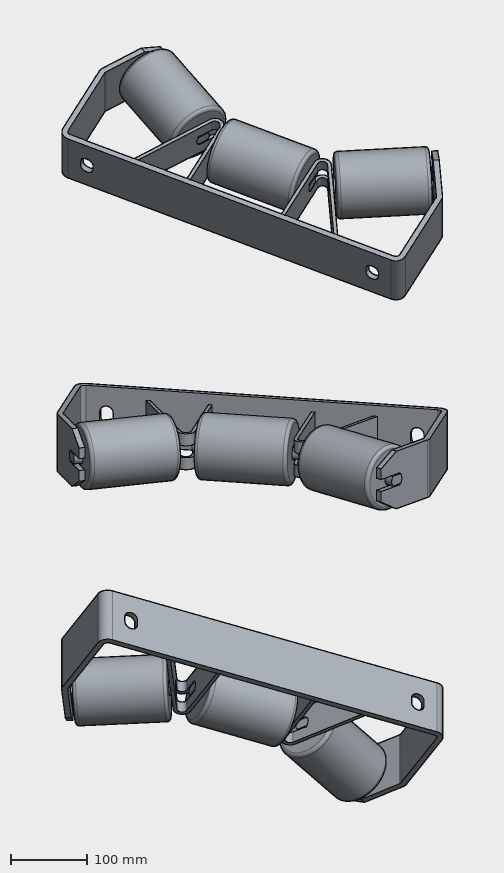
import cadquery as cq
import math


TROUGH_ANGLE = 30.0

ROLLER_DIA = 89.0
ROLLER_LENGTH = 125.0
ROLLER_EDGE_RADIUS = 5.0
SHAFT_DIA = 20.0
SHAFT_FLAT_WIDTH = 14.0
SHAFT_SLOT_WIDTH = 16.5
SHOULDER_LENGTH = 2.5
FACE_GAP = 4.0

CENTRE_ROLLER_Y = 101.0
SIDE_ROLLER_Y = 144.0

FRAME_LENGTH = 500.0
FRAME_WIDTH = 80.0
FRAME_THICKNESS = 8.0
FRAME_BEND_RADIUS = 14.0
ARM_BEND_Y = 122.0
ARM_LENGTH = 91.0
ARM_CHAMFER_LENGTH = 30.0
ARM_CHAMFER_DEPTH = 17.0

BOLT_SLOT_SPACING = 417.0
BOLT_SLOT_WIDTH = 18.0
BOLT_SLOT_LENGTH = 26.0

BRACKET_WIDTH = 50.0
BRACKET_THICKNESS = 5.0
BRACKET_FOLD_RADIUS = 12.0

TILT = math.radians(TROUGH_ANGLE)
SIN = math.sin(TILT)
COS = math.cos(TILT)
PLATE_DISTANCE = ROLLER_LENGTH / 2 + FACE_GAP
HALF_FRAME = FRAME_LENGTH / 2
FRAME_BEND_X = HALF_FRAME - FRAME_BEND_RADIUS
BRACKET_FOLD_X = PLATE_DISTANCE + BRACKET_FOLD_RADIUS

ARM_FACE = FRAME_BEND_X * COS + ARM_BEND_Y * SIN + FRAME_BEND_RADIUS - FRAME_THICKNESS
SIDE_ROLLER_MIDDLE = ARM_FACE - PLATE_DISTANCE
SLOPE_FACE = SIDE_ROLLER_MIDDLE - PLATE_DISTANCE
SIDE_ROLLER_X = (SIDE_ROLLER_MIDDLE - SIDE_ROLLER_Y * SIN) / COS
BRACKET_FOLD_Y = (SLOPE_FACE - BRACKET_FOLD_RADIUS - BRACKET_FOLD_X * COS) / SIN

SLOT_REACH = ROLLER_DIA


def polar(center_x, center_y, radius, angle):
    """Point on a circle about the given centre."""
    return (center_x + radius * math.cos(angle), center_y + radius * math.sin(angle))


def place_right(body):
    """Move a body built about the origin to the tilted position of the right side roller."""
    return body.rotate((0, 0, 0), (0, 0, 1), TROUGH_ANGLE).translate((SIDE_ROLLER_X, SIDE_ROLLER_Y, 0))


def mirror_to_left(body):
    return body.mirror("YZ")


def make_round_bar(diameter, start, end):
    """Cylinder along X between two X positions."""
    return cq.Workplane("YZ", origin=(start, 0, 0)).circle(diameter / 2).extrude(end - start)


def make_roller(inner_plate, outer_plate):
    """Roller along X about the origin, its shaft ending flush with the far faces of both plates."""
    drum = make_round_bar(ROLLER_DIA, -ROLLER_LENGTH / 2, ROLLER_LENGTH / 2)
    drum = drum.edges().fillet(ROLLER_EDGE_RADIUS)
    shoulder_end = ROLLER_LENGTH / 2 + SHOULDER_LENGTH
    shoulders = make_round_bar(SHAFT_DIA, -shoulder_end, shoulder_end)
    shaft = make_round_bar(SHAFT_DIA, -PLATE_DISTANCE - inner_plate, PLATE_DISTANCE + outer_plate)
    flats = cq.Workplane("XY").box(2 * ROLLER_LENGTH, SHAFT_DIA, SHAFT_FLAT_WIDTH)
    return drum.union(shoulders).union(shaft.intersect(flats))


def make_shaft_slot(start, depth):
    """Cutter along X from start: a seat that fits under the shaft, running out towards +Y."""
    seat = make_round_bar(SHAFT_DIA, start, start + depth)
    throat = (
        cq.Workplane("YZ", origin=(start, SLOT_REACH / 2, 0))
        .rect(SLOT_REACH, SHAFT_SLOT_WIDTH)
        .extrude(depth)
    )
    width_limit = cq.Workplane("XY").box(2 * ROLLER_LENGTH, SHAFT_DIA, SHAFT_SLOT_WIDTH)
    return seat.intersect(width_limit).union(throat)


def make_right_half_frame():
    outer = FRAME_BEND_RADIUS
    inner = FRAME_BEND_RADIUS - FRAME_THICKNESS

    def base_bend(radius, degrees):
        return polar(FRAME_BEND_X, FRAME_BEND_RADIUS, radius, math.radians(degrees))

    def arm_bend(radius, angle):
        return polar(FRAME_BEND_X, ARM_BEND_Y, radius, angle)

    def arm_tip(radius):
        x, y = arm_bend(radius, TILT)
        return (x - ARM_LENGTH * SIN, y + ARM_LENGTH * COS)

    plate = (
        cq.Workplane("XY")
        .lineTo(*base_bend(outer, -90))
        .threePointArc(base_bend(outer, -45), base_bend(outer, 0))
        .lineTo(*arm_bend(outer, 0))
        .threePointArc(arm_bend(outer, TILT / 2), arm_bend(outer, TILT))
        .lineTo(*arm_tip(outer))
        .lineTo(*arm_tip(inner))
        .lineTo(*arm_bend(inner, TILT))
        .threePointArc(arm_bend(inner, TILT / 2), arm_bend(inner, 0))
        .lineTo(*base_bend(inner, 0))
        .threePointArc(base_bend(inner, -45), base_bend(inner, -90))
        .lineTo(0, FRAME_THICKNESS)
        .close()
        .extrude(FRAME_WIDTH / 2, both=True)
    )

    tip_x, tip_y = arm_tip(outer)
    tip_plane = cq.Plane(origin=(tip_x, tip_y, 0), xDir=(0, 0, 1), normal=(-COS, -SIN, 0))
    for edge in (-1, 1):
        corner = (
            cq.Workplane(tip_plane)
            .moveTo(edge * FRAME_WIDTH / 2, 0)
            .lineTo(edge * (FRAME_WIDTH / 2 - ARM_CHAMFER_DEPTH), 0)
            .lineTo(edge * FRAME_WIDTH / 2, -ARM_CHAMFER_LENGTH)
            .close()
            .extrude(FRAME_THICKNESS)
        )
        plate = plate.cut(corner)

    arm_slot = make_shaft_slot(PLATE_DISTANCE - FACE_GAP, 2 * FRAME_THICKNESS)
    return plate.cut(place_right(arm_slot))


def make_frame():
    right_half = make_right_half_frame()
    bolt_slots = (
        cq.Workplane("XZ")
        .pushPoints([(-BOLT_SLOT_SPACING / 2, 0), (BOLT_SLOT_SPACING / 2, 0)])
        .slot2D(BOLT_SLOT_LENGTH, BOLT_SLOT_WIDTH, 90)
        .extrude(-FRAME_THICKNESS)
    )
    return right_half.union(mirror_to_left(right_half)).cut(bolt_slots)


def make_right_bracket():
    """Strip folded into an upright leg and a sloping leg, both standing on the frame base."""
    outer = BRACKET_FOLD_RADIUS
    inner = BRACKET_FOLD_RADIUS - BRACKET_THICKNESS

    def fold(radius, angle):
        return polar(BRACKET_FOLD_X, BRACKET_FOLD_Y, radius, angle)

    def slope_foot(radius):
        x, y = fold(radius, TILT)
        return (x + (y - FRAME_THICKNESS) * math.tan(TILT), FRAME_THICKNESS)

    crest = (math.pi + TILT) / 2
    strip = (
        cq.Workplane("XY")
        .moveTo(PLATE_DISTANCE, FRAME_THICKNESS)
        .lineTo(*fold(outer, math.pi))
        .threePointArc(fold(outer, crest), fold(outer, TILT))
        .lineTo(*slope_foot(outer))
        .lineTo(*slope_foot(inner))
        .lineTo(*fold(inner, TILT))
        .threePointArc(fold(inner, crest), fold(inner, math.pi))
        .lineTo(PLATE_DISTANCE + BRACKET_THICKNESS, FRAME_THICKNESS)
        .close()
        .extrude(BRACKET_WIDTH / 2, both=True)
    )

    slot_depth = FACE_GAP + BRACKET_THICKNESS
    upright_slot = make_shaft_slot(ROLLER_LENGTH / 2, slot_depth).translate((0, CENTRE_ROLLER_Y, 0))
    slope_slot = place_right(make_shaft_slot(-ROLLER_LENGTH / 2 - slot_depth, slot_depth))
    fold_opening = (
        cq.Workplane("XY")
        .box(2 * outer, outer, SHAFT_SLOT_WIDTH)
        .translate((BRACKET_FOLD_X, BRACKET_FOLD_Y + outer / 2, 0))
    )
    return strip.cut(upright_slot).cut(slope_slot).cut(fold_opening)


frame = make_frame()

right_bracket = make_right_bracket()
brackets = [right_bracket, mirror_to_left(right_bracket)]

centre_roller = make_roller(BRACKET_THICKNESS, BRACKET_THICKNESS).translate((0, CENTRE_ROLLER_Y, 0))
right_roller = place_right(make_roller(BRACKET_THICKNESS, FRAME_THICKNESS))
rollers = [centre_roller, right_roller, mirror_to_left(right_roller)]

result = cq.Compound.makeCompound([body.val() for body in [frame, *brackets, *rollers]])